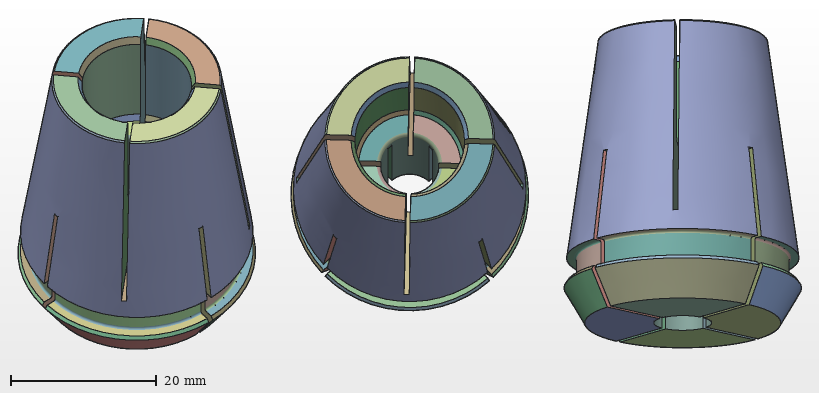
import cadquery as cq
import math


length = 40.0
rim_radius = 16.3
rim_height = 4.95
nose_angle = 30.0
rim_chamfer_width = 0.35
rim_chamfer_height = 0.5
neck_radius = 14.6
neck_fillet = 0.3
taper_base_height = 9.2
taper_base_radius = 15.95
taper_angle = 8.0
top_edge_chamfer = 0.2

bore_radius = 7.94 / 2
relief_radius = 7.5
relief_floor_height = 24.0
relief_floor_radius = 7.0
mouth_radius = 8.05
bore_rounding = 0.5
cone_angle = 30.0

slot_width = 0.7
slot_count = 4
nose_slot_top = 22.1
taper_slot_bottom = 12.0


def cone_rise(radius_change, half_angle):
    """Axial length over which a cone changes radius by the given amount."""
    return radius_change / math.tan(math.radians(half_angle))


def arc_inset(radius):
    """Distance of a quarter arc's midpoint from each of the two lines it joins."""
    return radius * (1 - math.sqrt(0.5))


def make_body():
    nose_radius = rim_radius - rim_height * math.tan(math.radians(nose_angle))
    shoulder_radius = rim_radius - rim_chamfer_width
    shoulder_height = rim_height + rim_chamfer_height
    top_radius = taper_base_radius - (length - taper_base_height) * math.tan(math.radians(taper_angle))
    fillet_mid = arc_inset(neck_fillet)
    fillet_radius = neck_radius + neck_fillet
    return (
        cq.Workplane("XZ")
        .moveTo(0, 0)
        .lineTo(nose_radius, 0)
        .lineTo(rim_radius, rim_height)
        .lineTo(shoulder_radius, shoulder_height)
        .lineTo(fillet_radius, shoulder_height)
        .threePointArc(
            (neck_radius + fillet_mid, shoulder_height + fillet_mid),
            (neck_radius, shoulder_height + neck_fillet),
        )
        .lineTo(neck_radius, taper_base_height - neck_fillet)
        .threePointArc(
            (neck_radius + fillet_mid, taper_base_height - fillet_mid),
            (fillet_radius, taper_base_height),
        )
        .lineTo(taper_base_radius, taper_base_height)
        .lineTo(top_radius, length)
        .lineTo(0, length)
        .close()
        .revolve(360, (0, 0, 0), (0, 1, 0))
        .faces(">Z")
        .edges()
        .chamfer(top_edge_chamfer)
    )


def make_bore():
    floor_cone_rise = cone_rise(relief_radius - relief_floor_radius, cone_angle)
    rounding_mid = arc_inset(bore_rounding)
    mouth_cone_rise = cone_rise(mouth_radius - relief_radius, cone_angle)
    return (
        cq.Workplane("XZ")
        .moveTo(0, 0)
        .lineTo(bore_radius, 0)
        .lineTo(bore_radius, relief_floor_height - bore_rounding)
        .threePointArc(
            (bore_radius + rounding_mid, relief_floor_height - rounding_mid),
            (bore_radius + bore_rounding, relief_floor_height),
        )
        .lineTo(relief_floor_radius, relief_floor_height)
        .lineTo(relief_radius, relief_floor_height + floor_cone_rise)
        .lineTo(relief_radius, length - mouth_cone_rise)
        .lineTo(mouth_radius, length)
        .lineTo(0, length)
        .close()
        .revolve(360, (0, 0, 0), (0, 1, 0))
    )


def make_slots(bottom, top, first_angle):
    """Evenly spaced radial slots, each cut from the axis outward between two heights."""
    reach = 2 * rim_radius
    slot = (
        cq.Workplane("XY")
        .workplane(offset=bottom)
        .rect(reach, slot_width)
        .extrude(top - bottom)
        .translate((reach / 2, 0, 0))
    )
    slots = cq.Workplane("XY")
    for index in range(slot_count):
        angle = first_angle + index * 360 / slot_count
        slots = slots.add(slot.rotate((0, 0, 0), (0, 0, 1), angle))
    return slots.combine()


nose_slots = make_slots(0, nose_slot_top, 0)
taper_slots = make_slots(taper_slot_bottom, length, 180 / slot_count)
result = make_body().cut(make_bore()).cut(nose_slots).cut(taper_slots)